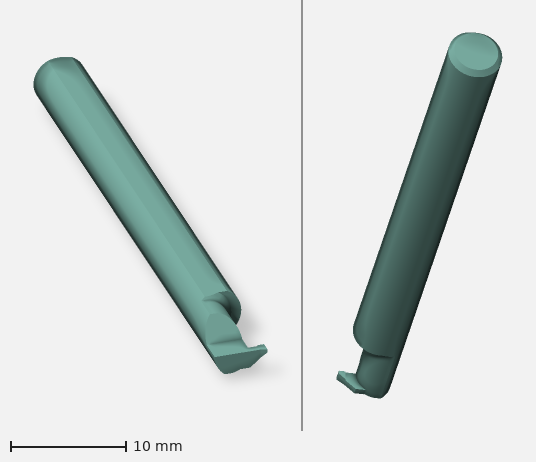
import cadquery as cq

length = 50.8
radius = 2.4
flat_height = 4.5
shank_length = 43.55
rear_chamfer = 0.45

neck_half_height = 1.9
neck_flat_edge = -1.15
neck_side = 0.85
flare = 0.6

ramp_end = 48.4
edge_rake = 0.15
hook_width = 0.8
hook_tip_width = 0.95
hook_step = 0.9
tip_depth = 0.3
hook_root_height = 0.75


def x_bar(start, end):
    """Round bar of the shank diameter between two X positions."""
    return cq.Workplane("YZ", origin=(start, 0, radius)).circle(radius).extrude(end - start)


def make_shank():
    bar = x_bar(0, shank_length).faces("<X").chamfer(rear_chamfer)
    return bar


def neck_outline(x):
    """Neck section: straight top and bottom, round on the +Y side."""
    return (
        cq.Workplane("YZ", origin=(x, 0, radius))
        .moveTo(-2 * radius, -neck_half_height)
        .lineTo(neck_flat_edge, -neck_half_height)
        .threePointArc((neck_side, 0), (neck_flat_edge, neck_half_height))
        .lineTo(-2 * radius, neck_half_height)
        .close()
    )


def make_neck():
    neck_start = shank_length + flare
    straight = neck_outline(shank_length).extrude(length - shank_length)
    widening = neck_outline(neck_start).extrude(-flare, taper=-45)
    return straight.union(widening).intersect(x_bar(shank_length, length))


def make_hook():
    plan = (
        cq.Workplane("XY")
        .polyline([
            (length - hook_width, 0),
            (length - hook_width, neck_side + hook_step),
            (length - hook_tip_width, neck_side + hook_step),
            (length - hook_tip_width, radius),
            (length, radius),
            (length, 0),
        ])
        .close()
        .extrude(radius)
    )
    side = (
        cq.Workplane("YZ")
        .polyline([
            (0, radius),
            (radius, radius),
            (radius, radius - tip_depth),
            (neck_side, hook_root_height),
            (0, hook_root_height),
        ])
        .close()
        .extrude(length)
    )
    return plan.intersect(side)


def ramp_cut():
    """Space above the cutting face and its 45 degree run-out."""
    return (
        cq.Workplane("XZ")
        .polyline([
            (length, radius),
            (ramp_end, radius),
            (ramp_end - radius, 2 * radius),
            (length, 2 * radius),
        ])
        .close()
        .extrude(radius, both=True)
    )


def end_relief():
    """Wedge that slopes the end face back from the cutting point."""
    return (
        cq.Workplane("XY")
        .polyline([
            (length, radius),
            (length - edge_rake, neck_side + hook_step),
            (length - edge_rake, -radius),
            (length, -radius),
        ])
        .close()
        .extrude(2 * radius)
    )


below_flat = cq.Workplane("XY").box(length, 2 * radius, flat_height, centered=(False, True, False))
tool = make_shank().union(make_neck()).union(make_hook())
result = tool.intersect(below_flat).cut(ramp_cut()).cut(end_relief())